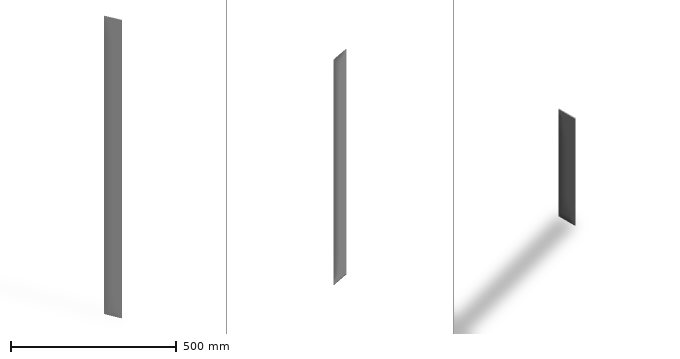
import cadquery as cq

width = 60.0
thickness = 3.0
length = 1000.0
back_corner_radius = 1.0

strip = cq.Workplane("XY").box(width, thickness, length)

result = strip.edges("|Z and >Y").fillet(back_corner_radius)